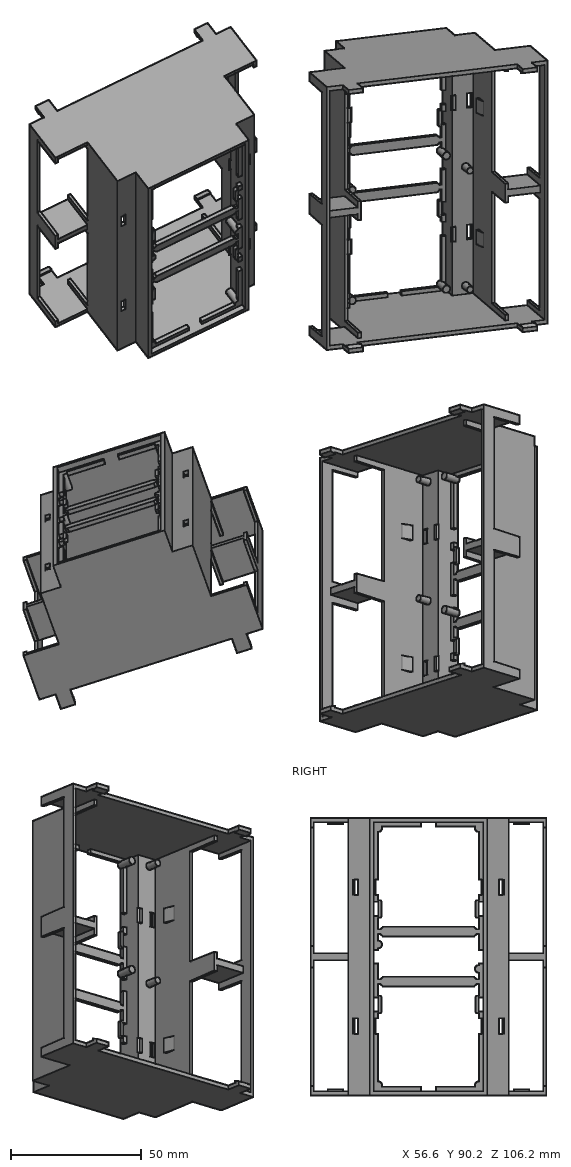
import cadquery as cq


length = 106.2
width = 90.2
half_length = length / 2
plate_thickness = 1.7
inner_top = half_length - plate_thickness

base_half_width = width / 2
middle_half_width = 30.7
top_half_width = 22.5
base_end = 19.0
middle_end = 41.0
top_end = 50.3

side_wall = 1.3
top_wall = 1.6
floor_thickness = 1.5
floor_front = middle_end - floor_thickness
base_inner = base_half_width - side_wall
middle_inner = middle_half_width - side_wall
top_inner = top_half_width - top_wall

side_strip_depth = 5.6
inner_tab_front = 4.5
shelf_half_thickness = 1.4
tab_draft = 0.2
outer_rib_half = 4.2
inner_rib_half = 4.0
outer_border = 3.8
inner_border = 4.1

clip_length = 6.3
clip_width = 6.0
clip_center_y = 35.6
hook_height = 0.7
hook_offset = 3.9

post_diameter = 3.0
pin_base_diameter = 3.0
pin_tip_diameter = 2.5
pin_y = 26.4
pin_z = 48.0
pin_front = 34.4
post_y = 19.2
post_z = 49.2
middle_post_z = 4.7
post_front = 41.2

lip_front = 46.3
lip_depth = 1.7
lip_width = 1.7
lip_edge = top_inner - lip_width
end_lip_height = 1.7
end_lip_gap_half = 2.9
lip_gap_half = 2.5

loop_center_z = 18.3
loop_hole_half = 2.7
loop_half = 3.4
loop_width = 1.3
loop_depth = 1.6
loop_corner_radius = 0.7

bar_z = 9.6
bar_half_height = 1.9
bar_neck_half = 1.0
bar_taper_start = 17.4
bar_taper_end = 18.4

latch_z = 26.6
latch_width = 5.8
latch_half = latch_width / 2
middle_latch_front = 28.5
middle_latch_length = 4.6
middle_latch_height = 1.2
slot_width = 1.9
slot_setback = 0.5
back_latch_front = 38.7
back_latch_end = 39.3
back_latch_height = 0.7
back_latch_root = 22.1

SIDES = (1, -1)


def block(x_range, y_range, z_range):
    """Box between pairs of coordinates, given in either order."""
    corners = [sorted(pair) for pair in (x_range, y_range, z_range)]
    sizes = [high - low for low, high in corners]
    starts = [low for low, high in corners]
    return cq.Workplane("XY").box(*sizes, centered=False).translate(tuple(starts))


def prism_z(points, z_low, z_high):
    """Closed XY outline extruded between two heights."""
    return cq.Workplane("XY").workplane(offset=z_low).polyline(points).close().extrude(z_high - z_low)


def prism_y(points, y_low, y_high):
    """Closed XZ outline extruded between two Y positions."""
    low, high = sorted((y_low, y_high))
    return cq.Workplane("XZ").workplane(offset=-high).polyline(points).close().extrude(high - low)


def post(y, z):
    """Plain round post rising from a lip."""
    circle = cq.Workplane("YZ").workplane(offset=post_front).center(y, z).circle(post_diameter / 2)
    return circle.extrude(lip_front + lip_depth - post_front)


def pin(y, z):
    """Pin that tapers from the step floor to its tip."""
    profile = [
        (floor_front, 0),
        (floor_front, pin_base_diameter / 2),
        (pin_front, pin_tip_diameter / 2),
        (pin_front, 0),
    ]
    cone = cq.Workplane("XY").polyline(profile).close().revolve(360, (0, 0, 0), (1, 0, 0))
    return cone.translate((0, y, z))


def end_plates():
    """Stepped plates that close the two Z ends."""
    half = [
        (0, base_half_width),
        (base_end, base_half_width),
        (base_end, middle_half_width),
        (middle_end, middle_half_width),
        (middle_end, top_half_width),
        (top_end, top_half_width),
    ]
    outline = half + [(x, -y) for x, y in reversed(half)]
    top = prism_z(outline, inner_top, half_length)
    return [top, top.mirror("XY")]


def side_walls(s):
    """Front strip, middle wall, step floor and back wall on one side."""
    full_length = (-half_length, half_length)
    return [
        block((0, side_strip_depth), (s * base_half_width, s * base_inner), full_length),
        block((base_end, middle_end), (s * middle_half_width, s * middle_inner), full_length),
        block((floor_front, middle_end), (s * middle_half_width, s * top_inner), full_length),
        block((floor_front, top_end), (s * top_half_width, s * top_inner), full_length),
    ]


def bay_ribs(s):
    """Drafted tabs that reach across the terminal bay, and the shelf between the middle pair."""
    parts = []
    tabs = (
        (side_strip_depth, base_end, base_half_width, base_inner, outer_rib_half, outer_border),
        (base_end, inner_tab_front, middle_half_width, middle_inner, inner_rib_half, inner_border),
    )
    for root, tip, y_outer, y_inner, rib_half, border in tabs:
        tip_half = rib_half - tab_draft
        rib = [(root, rib_half), (tip, tip_half), (tip, -tip_half), (root, -rib_half)]
        parts.append(prism_y(rib, s * y_outer, s * y_inner))
        edge = half_length - border
        strip = [(root, half_length), (tip, half_length), (tip, edge + tab_draft), (root, edge)]
        top_strip = prism_y(strip, s * y_outer, s * y_inner)
        parts += [top_strip, top_strip.mirror("XY")]
    shelf_z = (-shelf_half_thickness, shelf_half_thickness)
    parts.append(block((inner_tab_front, base_end), (s * base_half_width, s * middle_inner), shelf_z))
    return parts


def clips(s):
    """Hooked clips that continue the end plates past the front edge."""
    profile = [
        (0, half_length),
        (-clip_length, half_length),
        (-clip_length, inner_top),
        (-hook_offset, inner_top - hook_height),
        (-hook_offset, inner_top),
        (0, inner_top),
    ]
    near = clip_center_y - clip_width / 2
    clip = prism_y(profile, s * near, s * (near + clip_width))
    return [clip, clip.mirror("XY")]


def pins_and_posts(s):
    """Short pins on the step floor and longer posts on the lips."""
    parts = [pin(s * pin_y, z) for z in (-pin_z, 0, pin_z)]
    parts += [post(s * post_y, z) for z in (-post_z, -s * middle_post_z, post_z)]
    return parts


def lips(s):
    """Side lips broken at the centre, latches and loops, plus the end lips."""
    parts = []
    lip_x = (lip_front, lip_front + lip_depth)
    side_y = (s * top_inner, s * lip_edge)
    breaks = [lip_gap_half]
    breaks += [loop_center_z - loop_hole_half, loop_center_z + loop_hole_half]
    breaks += [latch_z - latch_half, latch_z + latch_half, inner_top]
    for t in SIDES:
        for low, high in zip(breaks[::2], breaks[1::2]):
            parts.append(block(lip_x, side_y, (t * low, t * high)))
        end_z = (t * inner_top, t * (inner_top - end_lip_height))
        parts.append(block(lip_x, (s * top_inner, s * end_lip_gap_half), end_z))
    return parts


def loops(s):
    """Rounded loops that bridge the lip breaks, leaving a window against the wall."""
    parts = []
    for t in SIDES:
        z_range = (t * (loop_center_z - loop_half), t * (loop_center_z + loop_half))
        x_range = (lip_front, lip_front + loop_depth)
        bridge = block(x_range, (s * lip_edge, s * (lip_edge - loop_width)), z_range)
        parts.append(bridge.edges("|X").edges("<Y" if s > 0 else ">Y").fillet(loop_corner_radius))
    return parts


def cross_bars():
    """Two bars with tapered ends and narrow necks between the side lips."""
    half = [
        (lip_edge, bar_neck_half),
        (bar_taper_end, bar_neck_half),
        (bar_taper_start, bar_half_height),
    ]
    upper = half + [(-y, z) for y, z in reversed(half)]
    outline = upper + [(y, -z) for y, z in reversed(upper)]
    bar = cq.Workplane("YZ").workplane(offset=lip_front).polyline(outline).close().extrude(lip_depth)
    return [bar.translate((0, 0, t * bar_z)) for t in SIDES]


def latches(s):
    """Wedges on the middle walls, and hooked fingers on the back walls."""
    wedge_end = middle_latch_front + middle_latch_length
    wedge = [
        (middle_latch_front, s * middle_inner),
        (wedge_end, s * (middle_inner - middle_latch_height)),
        (wedge_end, s * middle_inner),
    ]
    finger = [
        (middle_end, s * back_latch_root),
        (back_latch_front, s * back_latch_root),
        (back_latch_front, s * top_inner),
        (back_latch_end, s * (top_inner - back_latch_height)),
        (back_latch_end, s * top_inner),
        (middle_end, s * top_inner),
    ]
    centers = [t * latch_z for t in SIDES]
    return [prism_z(points, z - latch_half, z + latch_half) for points in (wedge, finger) for z in centers]


def latch_slots(s):
    """Openings through the step floor behind the wedges."""
    slot_outer = middle_inner - slot_setback
    slot_y = (s * slot_outer, s * (slot_outer - slot_width))
    slot_x = (floor_front, middle_end)
    return [block(slot_x, slot_y, (t * latch_z - latch_half, t * latch_z + latch_half)) for t in SIDES]


pieces = end_plates() + cross_bars()
openings = []
for side in SIDES:
    pieces += side_walls(side) + bay_ribs(side) + clips(side)
    pieces += pins_and_posts(side) + lips(side) + loops(side) + latches(side)
    openings += latch_slots(side)

result = pieces[0]
for piece in pieces[1:]:
    result = result.union(piece)
for opening in openings:
    result = result.cut(opening)